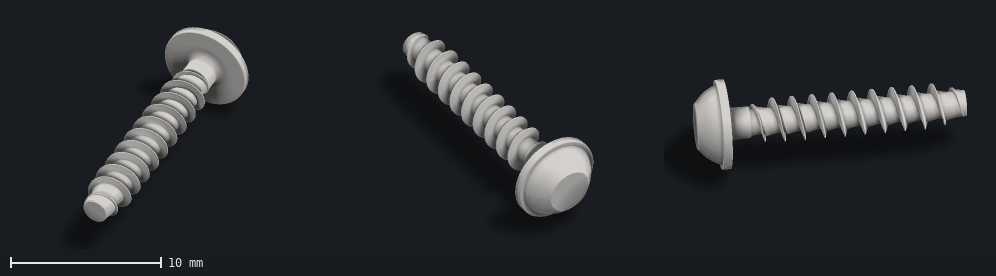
import cadquery as cq
import math


flange_radius = 3.0
flange_thickness = 0.6
flange_edge_round = 0.06
dome_base_radius = 2.68
dome_shoulder_radius = 2.27
dome_shoulder_height = 1.35
dome_top_radius = 1.53
head_height = 2.1

screw_length = 16.0
shank_radius = 1.06
shank_length = 1.5
under_head_fillet = 0.5
core_min_radius = 0.865
tip_face_radius = 0.82
tip_cut_reach = 1.0

pitch = 1.34
ridge_radius = 1.5
ridge_crest_width = 0.06
head_flank_slope = 0.33
tip_flank_slope = 0.36
core_max_radius = 1.03
thread_inner_radius = 0.75
turn_gap = 0.04
valley_overlap = 0.03
valley_radius = core_min_radius - valley_overlap
first_crest_y = -2.93

start_turn = -2
fade_in_turn = -1.25
full_ridge_turn = -0.05
fade_out_turn = 8.2
end_turn = 9.55
root_fade_turns = 0.5
fade_in_radius = 1.04
ridge_end_radius = 0.96
root_end_radius = 0.92
rail_points_per_turn = 16


def make_dome_and_shank():
    """Dome, under-head fillet and plain shank as one revolved solid."""
    fillet_middle = under_head_fillet * (1 - math.sqrt(0.5))
    profile = (
        cq.Workplane("XY")
        .moveTo(0, head_height)
        .lineTo(dome_top_radius, head_height)
        .threePointArc((dome_shoulder_radius, dome_shoulder_height), (dome_base_radius, flange_thickness))
        .lineTo(dome_base_radius, 0)
        .lineTo(shank_radius + under_head_fillet, 0)
        .threePointArc(
            (shank_radius + fillet_middle, -fillet_middle),
            (shank_radius, -under_head_fillet),
        )
        .lineTo(shank_radius, -shank_length)
        .lineTo(0, -shank_length)
        .close()
    )
    return profile.revolve(360, (0, 0, 0), (0, 1, 0))


def make_flange():
    """Washer flange under the dome, with both rim edges rounded."""
    disc = cq.Workplane("XZ").circle(flange_radius).extrude(-flange_thickness)
    return disc.edges().fillet(flange_edge_round)


def ramp(turn, first_turn, last_turn):
    """Linear rise from 0 at the first turn to 1 at the last turn, level outside them."""
    return min(1, max(0, (turn - first_turn) / (last_turn - first_turn)))


def crest_radius(turn):
    """Ridge height, growing out of the shank and sinking toward the core at the tip."""
    growth = ramp(turn, fade_in_turn, full_ridge_turn)
    decay = ramp(turn, fade_out_turn, end_turn)
    grown = fade_in_radius + (ridge_radius - fade_in_radius) * growth
    return grown - (ridge_radius - ridge_end_radius) * decay


def root_radius(turn):
    """Core radius just behind the ridge, sinking at the end of the thread."""
    decay = ramp(turn, end_turn - root_fade_turns, end_turn)
    return core_max_radius - (core_max_radius - root_end_radius) * decay


def head_foot_offset(turn):
    """Axial offset of the ridge foot on the head side; a lower ridge has a narrower foot."""
    return ridge_crest_width / 2 + head_flank_slope * (crest_radius(turn) - valley_radius)


def tip_foot_offset(turn):
    """Axial offset of the ridge foot on the tip side."""
    return -ridge_crest_width / 2 - tip_flank_slope * (crest_radius(turn) - root_radius(turn))


def profile_corners(turn):
    """(axial offset from the crest, radius) of each thread profile corner at the given turn."""
    half_crest = ridge_crest_width / 2
    head_foot = head_foot_offset(turn)
    valley = head_foot_offset(full_ridge_turn) + turn_gap - pitch
    return [
        (head_foot, thread_inner_radius),
        (head_foot, valley_radius),
        (half_crest, crest_radius(turn)),
        (-half_crest, crest_radius(turn)),
        (tip_foot_offset(turn), root_radius(turn)),
        (valley, valley_radius),
        (valley, thread_inner_radius),
    ]


def place_corner(turn, offset, radius):
    """Point in space of a profile corner that has been carried round the axis to the given turn."""
    angle = 2 * math.pi * turn
    y = first_crest_y - pitch * turn + offset
    return cq.Vector(radius * math.cos(angle), y, radius * math.sin(angle))


def make_thread():
    """Closed solid of ruled faces between the helical paths of the thread profile corners."""
    steps = math.ceil((end_turn - start_turn) * rail_points_per_turn)
    turns = [start_turn + (end_turn - start_turn) * i / steps for i in range(steps + 1)]
    sections = [[place_corner(turn, *corner) for corner in profile_corners(turn)] for turn in turns]
    rails = [cq.Edge.makeSpline(list(path)) for path in zip(*sections)]
    next_rails = rails[1:] + rails[:1]
    faces = [cq.Face.makeRuledSurface(rail, next_rail) for rail, next_rail in zip(rails, next_rails)]
    for end_section in (sections[0], sections[-1]):
        faces.append(cq.Face.makeFromWires(cq.Wire.makePolygon(end_section, close=True)))
    return cq.Workplane(cq.Solid.makeSolid(cq.Shell.makeShell(faces)).fix())


def make_core():
    """Plain cylinder along the axis, running past the tip plane like the thread does."""
    return cq.Workplane("XZ").circle(core_min_radius).extrude(screw_length + pitch)


def make_tip_cutter():
    """Blank beyond the tip that leaves a flat end face with a 45 degree edge."""
    profile = (
        cq.Workplane("XY")
        .moveTo(0, -screw_length)
        .lineTo(tip_face_radius, -screw_length)
        .lineTo(tip_face_radius + tip_cut_reach, -screw_length + tip_cut_reach)
        .lineTo(tip_face_radius + tip_cut_reach, -screw_length - 2 * pitch)
        .lineTo(0, -screw_length - 2 * pitch)
        .close()
    )
    return profile.revolve(360, (0, 0, 0), (0, 1, 0))


threaded_core = make_core().union(make_thread(), clean=False).cut(make_tip_cutter())
head_and_shank = make_dome_and_shank().union(make_flange())
result = threaded_core.union(head_and_shank, clean=False)